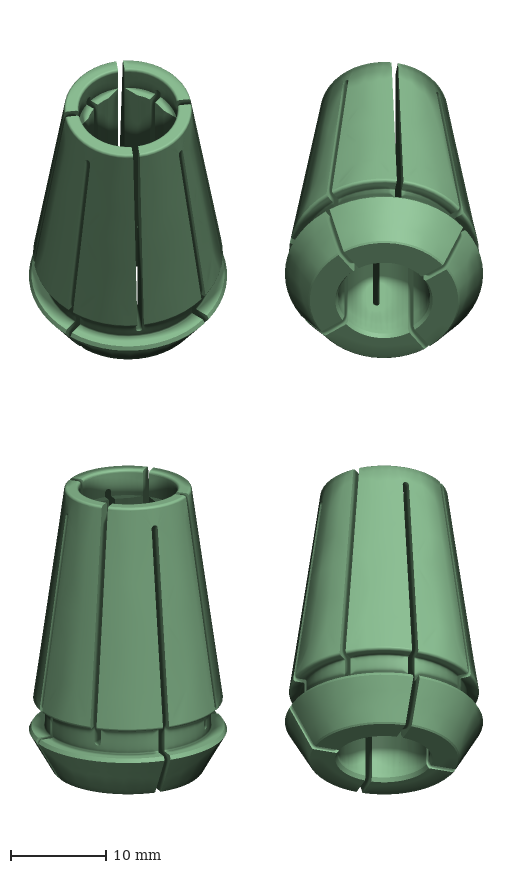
import cadquery as cq
import math

total_height = 31.5
flange_radius = 10.4
edge_break = 0.3

nose_radius = 7.78
nose_edge = 0.15
flange_edge_height = 4.45
flange_top = 4.85
flange_edge_step = 0.25

neck_radius = 8.73
neck_top = 7.72
neck_fillet = 0.15

body_base_radius = 9.95
body_taper_angle = 8
taper_length = total_height - neck_top - 2 * edge_break
body_top_radius = body_base_radius - taper_length * math.tan(math.radians(body_taper_angle))

shank_bore_radius = 4.85
entry_height = 0.45
entry_half_angle = 30
entry_radius = shank_bore_radius + entry_height * math.tan(math.radians(entry_half_angle))
square_start = 17.95
square_width = 7.8
square_relief_radius = 4.25
relief_start = 28.65
relief_radius = 5.2

slot_width = 0.7
bottom_slot_end = 29.48
top_slot_end = 5.58
top_slot_tilt = body_taper_angle
slots_per_end = 4
cut_margin = 3.15
slot_reach = flange_radius + cut_margin


def collet_body():
    """Solid of revolution with all outside edges, neck and taper."""
    outline = (
        cq.Workplane("XZ")
        .moveTo(0, 0)
        .lineTo(nose_radius, 0)
        .lineTo(nose_radius + nose_edge, nose_edge)
        .lineTo(flange_radius, flange_edge_height)
        .lineTo(flange_radius - flange_edge_step, flange_top)
        .lineTo(neck_radius + neck_fillet, flange_top)
        .radiusArc((neck_radius, flange_top + neck_fillet), neck_fillet)
        .lineTo(neck_radius, neck_top - neck_fillet)
        .radiusArc((neck_radius + neck_fillet, neck_top), neck_fillet)
        .lineTo(body_base_radius - edge_break, neck_top)
        .radiusArc((body_base_radius, neck_top + edge_break), -edge_break)
        .lineTo(body_top_radius, total_height - edge_break)
        .radiusArc((body_top_radius - edge_break, total_height), -edge_break)
        .lineTo(0, total_height)
        .close()
    )
    return outline.revolve(360, (0, 0, 0), (0, 1, 0))


def stepped_bore():
    """Bevelled shank hole, square drive hole with relieved sides, and top relief."""
    shank = (
        cq.Workplane("XZ")
        .lineTo(entry_radius, 0)
        .lineTo(shank_bore_radius, entry_height)
        .lineTo(shank_bore_radius, square_start)
        .lineTo(0, square_start)
        .close()
        .revolve(360, (0, 0, 0), (0, 1, 0))
    )
    square_length = relief_start - square_start
    square_plane = cq.Workplane("XY").workplane(offset=square_start)
    square = square_plane.rect(square_width, square_width).extrude(square_length)
    square_relief = square_plane.circle(square_relief_radius).extrude(square_length)
    relief = (
        cq.Workplane("XZ")
        .moveTo(0, relief_start)
        .lineTo(relief_radius, relief_start)
        .lineTo(relief_radius, total_height - edge_break)
        .radiusArc((relief_radius + edge_break, total_height), edge_break)
        .lineTo(0, total_height)
        .close()
        .revolve(360, (0, 0, 0), (0, 1, 0))
    )
    return shank.union(square).union(square_relief).union(relief)


def radial_slot(round_end, open_end):
    """Slot from the axis along +X, with a rounded end at one height and open at the other."""
    half_width = slot_width / 2
    toward_open = math.copysign(half_width, open_end - round_end)
    profile = (
        cq.Workplane("YZ")
        .moveTo(-half_width, open_end)
        .lineTo(-half_width, round_end + toward_open)
        .threePointArc((0, round_end), (half_width, round_end + toward_open))
        .lineTo(half_width, open_end)
        .close()
    )
    return profile.extrude(slot_reach)


def slot_cutters():
    """Ring of bottom slots with the top slots halfway between them."""
    bottom_slot = radial_slot(bottom_slot_end, -cut_margin)
    top_slot = radial_slot(top_slot_end, total_height + cut_margin).rotate(
        (neck_radius, 0, top_slot_end), (neck_radius, 1, top_slot_end), -top_slot_tilt
    )
    pitch = 360 / slots_per_end
    cutters = []
    for index in range(slots_per_end):
        angle = index * pitch
        cutters.append(bottom_slot.rotate((0, 0, 0), (0, 0, 1), angle))
        cutters.append(top_slot.rotate((0, 0, 0), (0, 0, 1), angle + pitch / 2))
    return cutters


result = collet_body().cut(stepped_bore())
for cutter in slot_cutters():
    result = result.cut(cutter)